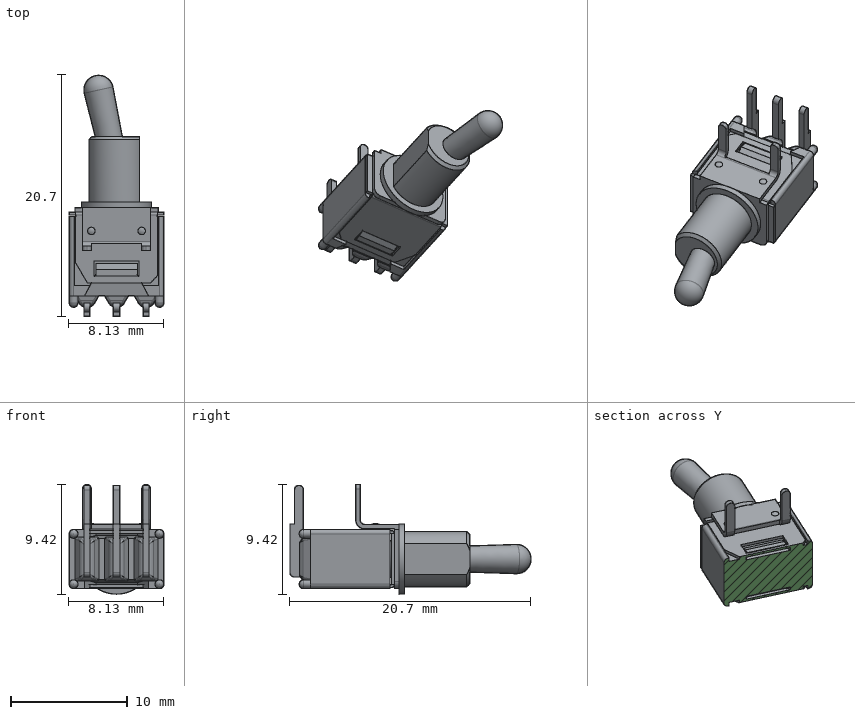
import cadquery as cq
import math


OVERLAP = 0.05
FULL_ROUND = 0.999

BUSHING_DIA = 4.77
BUSHING_END = 6.1
BUSHING_CHAMFER = 0.27
KEY_FLAT_X = 1.98
FLANGE_DIA = 6.04
FLANGE_THICKNESS = 0.5
NECK_DIA = 3.17

LEVER_TILT = 12.5
LEVER_PIVOT_Y = 3.13
LEVER_TIP_Y = 11.36
LEVER_BALL_DIA = 2.54
LEVER_ROOT_DIA = 2.1

BODY_FRONT = -0.75
BODY_BACK = -7.57
BODY_X = 8.13
ROD_DIA = 0.76
ROD_RADIUS = ROD_DIA / 2
BODY_Z = 5.08
ROD_X = BODY_X / 2 - ROD_RADIUS
ROD_Z = BODY_Z / 2 - ROD_RADIUS
ROD_TIP = -8.555

PLATE_X = 7.16
PLATE_THICKNESS = 0.38
PLATE_CORNER = 0.6
BRACKET_X = 5.84
BRACKET_THICKNESS = 0.4
BRACKET_BOTTOM = 2.58
BRACKET_LEG_BACK = -3.7
BRACKET_LEG_WIDTH = 0.76
BRACKET_WEB_BACK = -3.06
BRACKET_BEND = 0.38
BRACKET_TOP = 6.4
RIVET_X = 2.16
RIVET_Y = -2.0
RIVET_DIA = 0.64
RIVET_SPHERE_DIA = 1.29

STRAP_THICKNESS = 0.26
STRAP_BEND = 0.25
STRAP_COVER_Z = 2.45
STRAP_COVER_X = 3.51
STRAP_END = -6.45
LEFT_CUT_X = -2.5
LEFT_CUT_FRONT = -4.74
RIGHT_CUT_X = 2.93
RIGHT_CUT_FRONT = -5.84
POCKET_X = 3.59
POCKET_FLOOR_Z = STRAP_COVER_Z - STRAP_THICKNESS
POCKET_END = -6.69
WINDOW_X = 3.84
WINDOW_FRONT = -4.57
WINDOW_BACK = -5.87

RECESS_X = 1.78
RECESS_FRONT = -5.72
RECESS_BACK_X = 2.74
RECESS_FLOOR_FRONT_Z = 2.02
RECESS_FLOOR_BACK_Z = 1.77

CATCH_X = 2 * RECESS_X
CATCH_FRONT = -4.8
CATCH_CREST = -5.32
CATCH_HEIGHT = 0.18

PITCH = 2.54
SIDE_TERMINAL_WIDTH = 0.51
CENTRE_TERMINAL_WIDTH = 0.58
TERMINAL_FRONT = -8.175
PIN_BACK = -8.95
TERMINAL_BACK = -9.34
PIN_TOP = 6.33
SHOULDER_Z = 3.02
TERMINAL_BOTTOM = -1.55
TERMINAL_CORNER = 0.38
MOUND_TIP = -8.56
MOUND_BASE_X = 2.06
MOUND_BASE_Z = 3.8
MOUND_TIP_X = 0.88
MOUND_TIP_Z = 3.5
MOUND_SIDE_FILLET = 0.22
MOUND_TIP_FILLET = 0.7


def block(x_size, y_low, y_high, z_low, z_high, x_centre=0):
    """Box centred on x_centre, given by its Y and Z limits."""
    corner = (x_centre - x_size / 2, y_low, z_low)
    return cq.Workplane("XY").box(x_size, y_high - y_low, z_high - z_low, centered=False).translate(corner)


def rod_along_y(diameter, y_low, y_high, x=0, z=0):
    plane = cq.Workplane("XZ", origin=(x, y_high, z))
    return plane.circle(diameter / 2).extrude(y_high - y_low)


def side_profile(x_centre, width):
    """Workplane for a profile in Y and Z that is extruded over the given X width."""
    return cq.Workplane("YZ", origin=(x_centre - width / 2, 0, 0))


def make_bushing():
    thread = rod_along_y(BUSHING_DIA, 0, BUSHING_END).faces(">Y").chamfer(BUSHING_CHAMFER)
    flat_cut = block(BUSHING_DIA, FLANGE_THICKNESS, BUSHING_END, -BUSHING_DIA, BUSHING_DIA,
                     KEY_FLAT_X + BUSHING_DIA / 2)
    flange = rod_along_y(FLANGE_DIA, 0, FLANGE_THICKNESS)
    neck = rod_along_y(NECK_DIA, BODY_FRONT - OVERLAP, 0)
    return thread.cut(flat_cut).union(flange).union(neck)


def make_lever():
    ball_radius = LEVER_BALL_DIA / 2
    ball_distance = (LEVER_TIP_Y - ball_radius - LEVER_PIVOT_Y) / math.cos(math.radians(LEVER_TILT))
    lever = (
        cq.Workplane("XY")
        .lineTo(LEVER_ROOT_DIA / 2, 0)
        .lineTo(ball_radius, ball_distance)
        .threePointArc(
            (ball_radius * math.sqrt(0.5), ball_distance + ball_radius * math.sqrt(0.5)),
            (0, ball_distance + ball_radius),
        )
        .close()
        .revolve(360, (0, 0), (0, 1))
    )
    return lever.rotate((0, 0, 0), (0, 0, 1), LEVER_TILT).translate((0, LEVER_PIVOT_Y, 0))


def make_recess():
    """Upper recess: starts behind the strap window and flares out toward the back."""
    plan = (
        cq.Workplane("XY")
        .polyline([
            (-RECESS_X, RECESS_FRONT),
            (-RECESS_BACK_X, BODY_BACK),
            (RECESS_BACK_X, BODY_BACK),
            (RECESS_X, RECESS_FRONT),
        ])
        .close()
        .extrude(BODY_Z)
    )
    floor = (
        side_profile(0, BODY_X)
        .polyline([
            (RECESS_FRONT, RECESS_FLOOR_FRONT_Z),
            (BODY_BACK, RECESS_FLOOR_BACK_Z),
            (BODY_BACK, BODY_Z),
            (RECESS_FRONT, BODY_Z),
        ])
        .close()
        .extrude(BODY_X)
    )
    return plan.intersect(floor)


def make_catch():
    """Wedge on the pocket floor that rises toward the back edge of the strap window."""
    crest_z = POCKET_FLOOR_Z + CATCH_HEIGHT
    return (
        side_profile(0, CATCH_X)
        .polyline([
            (CATCH_FRONT, POCKET_FLOOR_Z),
            (CATCH_CREST, crest_z),
            (WINDOW_BACK, crest_z),
            (WINDOW_BACK, POCKET_FLOOR_Z - OVERLAP),
            (CATCH_FRONT, POCKET_FLOOR_Z - OVERLAP),
        ])
        .close()
        .extrude(CATCH_X)
    )


def make_body():
    shell = block(BODY_X, BODY_BACK, BODY_FRONT, -BODY_Z / 2, BODY_Z / 2)
    shell = shell.edges("|Y").fillet(FULL_ROUND * ROD_RADIUS)
    pocket = block(2 * POCKET_X, POCKET_END, BODY_FRONT, POCKET_FLOOR_Z, BODY_Z)
    upper_cut = pocket.union(make_recess())
    shell = shell.cut(upper_cut).cut(upper_cut.mirror("XY"))
    catch = make_catch()
    shell = shell.union(catch).union(catch.mirror("XY"))
    for x in (-ROD_X, ROD_X):
        for z in (-ROD_Z, ROD_Z):
            rod = rod_along_y(ROD_DIA, ROD_TIP, BODY_BACK + OVERLAP, x, z)
            shell = shell.union(rod.faces("<Y").fillet(FULL_ROUND * ROD_RADIUS))
    return shell


def make_strap():
    strap_front = -PLATE_THICKNESS
    cover = (
        cq.Workplane("XY", origin=(0, 0, POCKET_FLOOR_Z))
        .polyline([
            (-STRAP_COVER_X, strap_front),
            (-STRAP_COVER_X, LEFT_CUT_FRONT),
            (LEFT_CUT_X, STRAP_END),
            (RIGHT_CUT_X, STRAP_END),
            (STRAP_COVER_X, RIGHT_CUT_FRONT),
            (STRAP_COVER_X, strap_front),
        ])
        .close()
        .extrude(STRAP_THICKNESS)
        .edges(">Y and >Z")
        .fillet(STRAP_BEND)
    )
    window = block(WINDOW_X, WINDOW_BACK, WINDOW_FRONT, 0, BODY_Z)
    cover = cover.cut(window)
    wall = block(BODY_X, strap_front - STRAP_THICKNESS, strap_front, -POCKET_FLOOR_Z, POCKET_FLOOR_Z)
    return wall.union(cover).union(cover.mirror("XY"))


def make_front_plate():
    plate = block(PLATE_X, -PLATE_THICKNESS, 0, -BODY_Z / 2, BODY_Z / 2)
    return plate.edges("|Y and <Z").fillet(PLATE_CORNER)


def make_bracket():
    top = BRACKET_BOTTOM + BRACKET_THICKNESS
    leg_front = BRACKET_LEG_BACK + BRACKET_THICKNESS
    angle = (
        side_profile(0, BRACKET_X)
        .polyline([
            (0, BRACKET_BOTTOM),
            (BRACKET_LEG_BACK, BRACKET_BOTTOM),
            (BRACKET_LEG_BACK, BRACKET_TOP),
            (leg_front, BRACKET_TOP),
            (leg_front, top),
            (0, top),
        ])
        .close()
        .extrude(BRACKET_X)
    )
    outer_bend = cq.selectors.NearestToPointSelector((0, BRACKET_LEG_BACK, BRACKET_BOTTOM))
    inner_bend = cq.selectors.NearestToPointSelector((0, leg_front, top))
    angle = angle.edges(outer_bend).fillet(BRACKET_BEND + BRACKET_THICKNESS)
    angle = angle.edges(inner_bend).fillet(BRACKET_BEND)
    gap_x = BRACKET_X - 2 * BRACKET_LEG_WIDTH
    angle = angle.cut(block(gap_x, BRACKET_LEG_BACK, BRACKET_WEB_BACK, BRACKET_BOTTOM, BRACKET_TOP))
    angle = angle.faces(">Z").edges("|Y").fillet(FULL_ROUND * BRACKET_LEG_WIDTH / 2)
    root = block(BRACKET_X, -PLATE_THICKNESS, 0, 0, top)
    return angle.union(root).union(make_rivets(top))


def make_rivets(seat_z):
    sphere_radius = RIVET_SPHERE_DIA / 2
    cap_drop = math.sqrt(sphere_radius**2 - (RIVET_DIA / 2) ** 2)
    rivets = cq.Workplane("XY")
    for x in (-RIVET_X, RIVET_X):
        ball = cq.Workplane("XY").sphere(sphere_radius).translate((x, RIVET_Y, seat_z - cap_drop))
        above_seat = block(RIVET_SPHERE_DIA, RIVET_Y - sphere_radius, RIVET_Y + sphere_radius,
                           seat_z - OVERLAP, seat_z + sphere_radius, x)
        rivets = rivets.add(ball.intersect(above_seat))
    return rivets.combine()


def make_terminal(x, width):
    pin_radius = (TERMINAL_FRONT - PIN_BACK) / 2
    pin_centre = (TERMINAL_FRONT + PIN_BACK) / 2
    profile = (
        side_profile(x, width)
        .moveTo(TERMINAL_FRONT, TERMINAL_BOTTOM)
        .lineTo(TERMINAL_FRONT, PIN_TOP - pin_radius)
        .threePointArc((pin_centre, PIN_TOP), (PIN_BACK, PIN_TOP - pin_radius))
        .lineTo(PIN_BACK, SHOULDER_Z)
        .lineTo(TERMINAL_BACK, SHOULDER_Z)
        .lineTo(TERMINAL_BACK, TERMINAL_BOTTOM)
        .close()
        .extrude(width)
    )
    return profile.edges("<Y and <Z").fillet(TERMINAL_CORNER)


def make_mound(x):
    """Tapered sealing mound that a terminal leaves the body through."""
    length = BODY_BACK - MOUND_TIP
    mound = (
        cq.Workplane("XZ", origin=(x, BODY_BACK, 0))
        .rect(MOUND_BASE_X, MOUND_BASE_Z)
        .workplane(offset=length)
        .rect(MOUND_TIP_X, MOUND_TIP_Z)
        .loft(ruled=True)
    )
    mound = mound.faces("<Y").edges().fillet(MOUND_TIP_FILLET)
    mound = mound.edges("not #Y").edges("not >Y").fillet(MOUND_SIDE_FILLET)
    return mound


result = make_body()
for piece in (make_bushing(), make_lever(), make_front_plate(), make_bracket(), make_strap()):
    result = result.union(piece)
for column in (-1, 0, 1):
    terminal_width = SIDE_TERMINAL_WIDTH if column else CENTRE_TERMINAL_WIDTH
    result = result.union(make_mound(column * PITCH))
    result = result.union(make_terminal(column * PITCH, terminal_width))